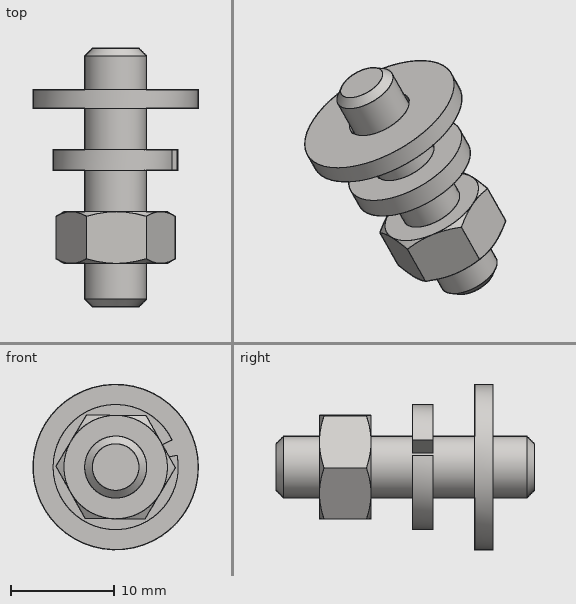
import cadquery as cq
import math

rod_length = 25.0
rod_diameter = 6.0
rod_chamfer = 0.75

nut_start = 4.2
nut_thickness = 5.0
nut_across_flats = 10.0
nut_across_corners = nut_across_flats / math.cos(math.radians(30))
nut_turn = 0.8
nut_chamfer_angle = 30.0

part_gap = 4.0
split_washer_start = nut_start + nut_thickness + part_gap
split_washer_thickness = 2.0
split_washer_diameter = 12.1
split_washer_hole = 6.2
split_start_angle = 10.8
split_end_angle = 25.7

flat_washer_start = split_washer_start + split_washer_thickness + part_gap
flat_washer_thickness = 1.8
flat_washer_diameter = 16.0
flat_washer_hole = 6.4


def plane_across_rod(y):
    """Plane with local axes X and Z whose normal points toward -Y."""
    return cq.Workplane("XZ", origin=(0, y, 0))


def make_ring(start, thickness, outer_diameter, hole_diameter):
    """Flat ring around the rod axis."""
    return (
        plane_across_rod(start)
        .circle(outer_diameter / 2)
        .circle(hole_diameter / 2)
        .extrude(-thickness)
    )


def make_rod():
    rod = plane_across_rod(0).circle(rod_diameter / 2).extrude(-rod_length)
    return rod.faces("<Y or >Y").chamfer(rod_chamfer)


def make_nut():
    """Hexagon trimmed by a cone at each end, with a hole that fits the rod."""
    nut_end = nut_start + nut_thickness
    hexagon = (
        plane_across_rod(nut_start)
        .polygon(6, nut_across_corners)
        .extrude(-nut_thickness)
        .rotate((0, 0, 0), (0, 1, 0), nut_turn)
    )
    face_radius = nut_across_flats / 2
    corner_radius = nut_across_corners / 2
    corner_drop = (corner_radius - face_radius) * math.tan(math.radians(nut_chamfer_angle))
    envelope = (
        cq.Workplane("XY")
        .moveTo(0, nut_start)
        .lineTo(face_radius, nut_start)
        .lineTo(corner_radius, nut_start + corner_drop)
        .lineTo(corner_radius, nut_end - corner_drop)
        .lineTo(face_radius, nut_end)
        .lineTo(0, nut_end)
        .close()
        .revolve(360, (0, 0, 0), (0, 1, 0))
    )
    hole = plane_across_rod(nut_start).circle(rod_diameter / 2).extrude(-nut_thickness)
    return hexagon.intersect(envelope).cut(hole)


def make_split_washer():
    """Ring opened by a wedge-shaped gap with radial sides."""
    ring = make_ring(
        split_washer_start, split_washer_thickness, split_washer_diameter, split_washer_hole
    )
    reach = split_washer_diameter
    wedge_corners = [(0, 0)]
    for angle in (split_start_angle, split_end_angle):
        direction = math.radians(angle)
        wedge_corners.append((reach * math.cos(direction), reach * math.sin(direction)))
    wedge = (
        plane_across_rod(split_washer_start)
        .polyline(wedge_corners)
        .close()
        .extrude(-split_washer_thickness)
    )
    return ring.cut(wedge)


def make_flat_washer():
    return make_ring(
        flat_washer_start, flat_washer_thickness, flat_washer_diameter, flat_washer_hole
    )


rod = make_rod()
nut = make_nut()
split_washer = make_split_washer()
flat_washer = make_flat_washer()

result = cq.Compound.makeCompound(
    [rod.val(), nut.val(), split_washer.val(), flat_washer.val()]
)